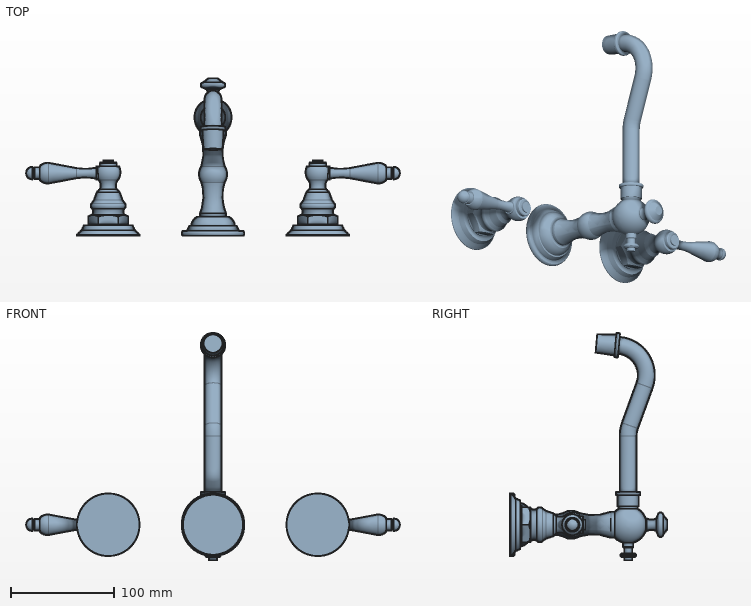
import cadquery as cq
import math

VALVE_SPACING = 203.0
FLANGE_RADIUS = 30.5

ESCUTCHEON_RIM = 1.0
ESCUTCHEON_STEP_RADIUS = 25.7
ESCUTCHEON_STEP_Y = 5.8
ESCUTCHEON_TOP_RADIUS = 23.5
ESCUTCHEON_TOP_Y = 10.5
NUT_SEAT_RADIUS = 18.5
NUT_CORNER_RADIUS = 19.5
NUT_START_Y = 11.5
NUT_END_Y = 20.5
NUT_CHAMFER_RADIUS = 16.3
NUT_CHAMFER_ANGLE = 30.0
STEM_FOOT_RADIUS = 15.5
STEM_WAIST_RADIUS = 15.0
STEM_WAIST_Y = 23.5
BEAD_START_Y = 26.5
BEAD_RADIUS = 17.0
BEAD_Y = 29.5
BEAD_END_RADIUS = 16.0
BEAD_END_Y = 32.0
CONE_START_RADIUS = 13.8
CONE_START_Y = 35.0
CONE_END_RADIUS = 11.2
CONE_END_Y = 42.5
NECK_START_RADIUS = 8.5
NECK_START_Y = 45.5
NECK_RADIUS = 7.5
NECK_Y = 49.5
HUB_RADIUS = 12.0
HUB_Y = 61.5
HUB_START_Y = 54.7
CAP_RADIUS = 8.5
CAP_START_Y = 67.5
CAP_END_Y = 71.5
CAP_CHAMFER = 0.7
BUTTON_RADIUS = 5.0
BUTTON_END_Y = 73.2

LEVER_Y = 61.0
LEVER_COLLAR_RADIUS = 6.5
LEVER_COLLAR_END = 11.5
LEVER_ROOT_RADIUS = 5.5
LEVER_WAIST_RADIUS = 4.5
LEVER_WAIST = 22.5
LEVER_GRIP_START_RADIUS = 5.0
LEVER_GRIP_START = 31.0
LEVER_GRIP_RADIUS = 10.0
LEVER_GRIP = 58.0
LEVER_SHOULDER_RADIUS = 9.0
LEVER_SHOULDER = 63.5
LEVER_GRIP_END_RADIUS = 7.0
LEVER_GRIP_END = 66.5
LEVER_RING_RADIUS = 5.8
LEVER_RING_END = 71.5
LEVER_GROOVE_RADIUS = 5.0
LEVER_GROOVE_END = 73.0
LEVER_END = 79.8
LEVER_TIP_RADIUS = 6.0
LEVER_TIP_START = LEVER_END - LEVER_TIP_RADIUS

FLANGE_THICKNESS = 5.0
FLANGE_EDGE_RADIUS = 29.0
STEP_RADIUS = 25.5
BELL_START_Y = 10.0
BELL_STEP_RADIUS = 23.0
BELL_RADIUS = 21.5
BELL_MID_RADIUS = 19.5
BELL_MID_Y = 15.0
BELL_END_RADIUS = 15.2
BELL_END_Y = 19.0
ARM_END_RADIUS = 12.7
ARM_START_Y = 22.0
ARM_WAIST_RADIUS = 9.5
ARM_BALL_RADIUS = 13.8
ARM_BALL_Y = 60.0
ARM_BALL_HALF_LENGTH = 7.5
ARM_END_Y = 98.0

BALL_RADIUS = 18.0
BALL_Y = 115.0

KNOB_NECK_RADIUS = 5.0
KNOB_FOOT_RADIUS = 6.0
KNOB_NECK_Y = 137.5
KNOB_NECK_END_Y = 142.0
KNOB_DISC_START_Y = 143.5
KNOB_DISC_RADIUS = 12.0
KNOB_DISC_END_Y = 149.0
KNOB_DISC_FLAT_RADIUS = 9.5
KNOB_CROWN_RADIUS = 4.5
KNOB_END_Y = 153.0

DRAIN_FOOT_RADIUS = 5.0
DRAIN_FOOT_Z = -22.5
DRAIN_FOOT_CHAMFER = 1.0
DRAIN_STEM_RADIUS = 4.0
DRAIN_DISC_RADIUS = 7.5
DRAIN_DISC_TOP_Z = -27.5
DRAIN_DISC_BOTTOM_Z = -31.5
DRAIN_DISC_CHAMFER = 1.5
DRAIN_END_Z = -34.5

SOCKET_NECK_RADIUS = 9.5
SOCKET_START_Z = 17.8
SOCKET_RADIUS = 10.5
SOCKET_LIP_RADIUS = 12.0
SOCKET_LIP_Z = 28.5
SOCKET_END_Z = 32.0
LIP_ROUND = 1.0

TUBE_RADIUS = 8.5
TUBE_STRAIGHT_END_Z = 86.3
TUBE_BEND_RADIUS = 29.0
TUBE_LEAN = 20.0
TUBE_LEAN_LENGTH = 41.5
NOZZLE_RISE = 5.0
NOZZLE_LIP_LENGTH = 3.5
NOZZLE_LENGTH = 22.0
NOZZLE_END_RADIUS = 9.0


def revolve_about_y(profile):
    """Revolve a closed (radius, Y) profile about the Y axis."""
    return profile.close().revolve(360, (0, 0, 0), (0, 1, 0))


def disc_along_z(radius, start, end):
    """Vertical cylinder on the axis of the spout ball."""
    return cq.Workplane("XY", origin=(0, BALL_Y, start)).circle(radius).extrude(end - start)


def valve_stem():
    hub_start_radius = math.sqrt(HUB_RADIUS**2 - (HUB_Y - HUB_START_Y) ** 2)
    hub_end_radius = math.sqrt(HUB_RADIUS**2 - (CAP_START_Y - HUB_Y) ** 2)
    profile = (
        cq.Workplane("XY")
        .lineTo(FLANGE_RADIUS, 0)
        .lineTo(FLANGE_RADIUS, ESCUTCHEON_RIM)
        .lineTo(ESCUTCHEON_STEP_RADIUS, ESCUTCHEON_STEP_Y)
        .lineTo(ESCUTCHEON_TOP_RADIUS, ESCUTCHEON_TOP_Y)
        .lineTo(NUT_SEAT_RADIUS, ESCUTCHEON_TOP_Y)
        .lineTo(NUT_SEAT_RADIUS, NUT_START_Y)
        .lineTo(STEM_FOOT_RADIUS, NUT_START_Y)
        .lineTo(STEM_FOOT_RADIUS, NUT_END_Y)
        .threePointArc((STEM_WAIST_RADIUS, STEM_WAIST_Y), (STEM_FOOT_RADIUS, BEAD_START_Y))
        .threePointArc((BEAD_RADIUS, BEAD_Y), (BEAD_END_RADIUS, BEAD_END_Y))
        .lineTo(CONE_START_RADIUS, CONE_START_Y)
        .lineTo(CONE_END_RADIUS, CONE_END_Y)
        .lineTo(NECK_START_RADIUS, NECK_START_Y)
        .threePointArc((NECK_RADIUS, NECK_Y), (hub_start_radius, HUB_START_Y))
        .threePointArc((HUB_RADIUS, HUB_Y), (hub_end_radius, CAP_START_Y))
        .lineTo(CAP_RADIUS, CAP_START_Y)
        .lineTo(CAP_RADIUS, CAP_END_Y - CAP_CHAMFER)
        .lineTo(CAP_RADIUS - CAP_CHAMFER, CAP_END_Y)
        .lineTo(BUTTON_RADIUS, CAP_END_Y)
        .lineTo(BUTTON_RADIUS, BUTTON_END_Y)
        .lineTo(0, BUTTON_END_Y)
    )
    return revolve_about_y(profile)


def valve_nut():
    """Hexagon with corners on the X direction, its outer corners cut by a cone."""
    hexagon = (
        cq.Workplane("XZ", origin=(0, NUT_START_Y, 0))
        .polygon(6, 2 * NUT_CORNER_RADIUS)
        .extrude(NUT_START_Y - NUT_END_Y)
    )
    chamfer_drop = (NUT_CORNER_RADIUS - NUT_CHAMFER_RADIUS) * math.tan(math.radians(NUT_CHAMFER_ANGLE))
    envelope = (
        cq.Workplane("XY")
        .moveTo(0, NUT_START_Y)
        .lineTo(NUT_CORNER_RADIUS, NUT_START_Y)
        .lineTo(NUT_CORNER_RADIUS, NUT_END_Y - chamfer_drop)
        .lineTo(NUT_CHAMFER_RADIUS, NUT_END_Y)
        .lineTo(0, NUT_END_Y)
    )
    return hexagon.intersect(revolve_about_y(envelope))


def valve_lever():
    """Lever turned about an axis along +X, starting inside the hub."""
    tip_middle = math.sqrt(0.5)
    return (
        cq.Workplane("XY", origin=(0, LEVER_Y, 0))
        .lineTo(0, LEVER_COLLAR_RADIUS)
        .lineTo(LEVER_COLLAR_END, LEVER_COLLAR_RADIUS)
        .lineTo(LEVER_COLLAR_END, LEVER_ROOT_RADIUS)
        .threePointArc((LEVER_WAIST, LEVER_WAIST_RADIUS), (LEVER_GRIP_START, LEVER_GRIP_START_RADIUS))
        .lineTo(LEVER_GRIP, LEVER_GRIP_RADIUS)
        .threePointArc((LEVER_SHOULDER, LEVER_SHOULDER_RADIUS), (LEVER_GRIP_END, LEVER_GRIP_END_RADIUS))
        .lineTo(LEVER_GRIP_END, LEVER_RING_RADIUS)
        .lineTo(LEVER_RING_END, LEVER_RING_RADIUS)
        .lineTo(LEVER_RING_END, LEVER_GROOVE_RADIUS)
        .lineTo(LEVER_GROOVE_END, LEVER_GROOVE_RADIUS)
        .lineTo(LEVER_TIP_START, LEVER_TIP_RADIUS)
        .threePointArc(
            (LEVER_TIP_START + LEVER_TIP_RADIUS * tip_middle, LEVER_TIP_RADIUS * tip_middle),
            (LEVER_END, 0),
        )
        .close()
        .revolve(360, (0, 0, 0), (1, 0, 0))
    )


def valve(side):
    """One valve with its lever pointing outward; side is +1 or -1 along X."""
    body = valve_stem().union(valve_nut()).union(valve_lever())
    if side < 0:
        body = body.mirror("YZ")
    return body.translate((side * VALVE_SPACING / 2, 0, 0))


def spout_arm():
    """Wall flange, bell and waisted arm up to the collar at the ball."""
    ball_start = ARM_BALL_Y - ARM_BALL_HALF_LENGTH
    ball_end = ARM_BALL_Y + ARM_BALL_HALF_LENGTH
    ball_end_radius = math.sqrt(ARM_BALL_RADIUS**2 - ARM_BALL_HALF_LENGTH**2)
    profile = (
        cq.Workplane("XY")
        .lineTo(FLANGE_EDGE_RADIUS, 0)
        .threePointArc((FLANGE_RADIUS, FLANGE_THICKNESS / 2), (FLANGE_EDGE_RADIUS, FLANGE_THICKNESS))
        .lineTo(STEP_RADIUS, FLANGE_THICKNESS)
        .lineTo(BELL_STEP_RADIUS, BELL_START_Y)
        .lineTo(BELL_RADIUS, BELL_START_Y)
        .threePointArc((BELL_MID_RADIUS, BELL_MID_Y), (BELL_END_RADIUS, BELL_END_Y))
        .lineTo(ARM_END_RADIUS, BELL_END_Y)
        .lineTo(ARM_END_RADIUS, ARM_START_Y)
        .threePointArc((ARM_WAIST_RADIUS, (ARM_START_Y + ball_start) / 2), (ball_end_radius, ball_start))
        .threePointArc((ARM_BALL_RADIUS, ARM_BALL_Y), (ball_end_radius, ball_end))
        .threePointArc((ARM_WAIST_RADIUS, (ball_end + ARM_END_Y) / 2), (ARM_END_RADIUS, ARM_END_Y))
        .lineTo(ARM_END_RADIUS, BALL_Y)
        .lineTo(0, BALL_Y)
    )
    return revolve_about_y(profile)


def knob():
    """Turned knob on the far side of the ball."""
    rim_y = (KNOB_DISC_START_Y + KNOB_DISC_END_Y) / 2
    profile = (
        cq.Workplane("XY")
        .moveTo(0, BALL_Y)
        .lineTo(KNOB_FOOT_RADIUS, BALL_Y)
        .lineTo(KNOB_FOOT_RADIUS, BALL_Y + BALL_RADIUS)
        .threePointArc((KNOB_NECK_RADIUS, KNOB_NECK_Y), (KNOB_FOOT_RADIUS, KNOB_NECK_END_Y))
        .lineTo(KNOB_DISC_FLAT_RADIUS, KNOB_DISC_START_Y)
        .threePointArc((KNOB_DISC_RADIUS, rim_y), (KNOB_DISC_FLAT_RADIUS, KNOB_DISC_END_Y))
        .lineTo(KNOB_CROWN_RADIUS, KNOB_END_Y)
        .lineTo(0, KNOB_END_Y)
    )
    return revolve_about_y(profile)


def drain_screw():
    """Stepped screw hanging below the ball."""
    foot = disc_along_z(DRAIN_FOOT_RADIUS, 0, DRAIN_FOOT_Z).edges("<Z").chamfer(DRAIN_FOOT_CHAMFER)
    stem = disc_along_z(DRAIN_STEM_RADIUS, 0, DRAIN_END_Z)
    disc = disc_along_z(DRAIN_DISC_RADIUS, DRAIN_DISC_TOP_Z, DRAIN_DISC_BOTTOM_Z)
    disc = disc.edges("%CIRCLE").chamfer(DRAIN_DISC_CHAMFER)
    return foot.union(stem).union(disc)


def socket():
    """Lipped socket that carries the gooseneck on top of the ball."""
    neck = disc_along_z(SOCKET_NECK_RADIUS, 0, SOCKET_START_Z)
    cup = disc_along_z(SOCKET_RADIUS, SOCKET_START_Z, SOCKET_LIP_Z)
    lip = disc_along_z(SOCKET_LIP_RADIUS, SOCKET_LIP_Z, SOCKET_END_Z).edges("%CIRCLE").fillet(LIP_ROUND)
    return neck.union(cup).union(lip)


def bend_point(center, angle):
    """Point on a gooseneck bend; angle is in degrees from +Y toward +Z."""
    turn = math.radians(angle)
    return (
        center[0] + TUBE_BEND_RADIUS * math.cos(turn),
        center[1] + TUBE_BEND_RADIUS * math.sin(turn),
    )


def gooseneck():
    """Tube that leans away from the wall and curls back to a lipped nozzle."""
    lean = math.radians(TUBE_LEAN)
    low_center = (BALL_Y + TUBE_BEND_RADIUS, TUBE_STRAIGHT_END_Z)
    lean_start = bend_point(low_center, 180 - TUBE_LEAN)
    lean_end = (
        lean_start[0] + TUBE_LEAN_LENGTH * math.sin(lean),
        lean_start[1] + TUBE_LEAN_LENGTH * math.cos(lean),
    )
    high_center = (
        lean_end[0] - TUBE_BEND_RADIUS * math.cos(lean),
        lean_end[1] + TUBE_BEND_RADIUS * math.sin(lean),
    )
    curl_end_angle = 90 - NOZZLE_RISE
    tube_end = bend_point(high_center, curl_end_angle)
    path = (
        cq.Workplane("YZ")
        .moveTo(BALL_Y, SOCKET_LIP_Z)
        .lineTo(BALL_Y, TUBE_STRAIGHT_END_Z)
        .threePointArc(bend_point(low_center, 180 - TUBE_LEAN / 2), lean_start)
        .lineTo(*lean_end)
        .threePointArc(bend_point(high_center, (curl_end_angle - TUBE_LEAN) / 2), tube_end)
    )
    tube = cq.Workplane("XY", origin=(0, BALL_Y, SOCKET_LIP_Z)).circle(TUBE_RADIUS).sweep(path)

    rise = math.radians(NOZZLE_RISE)
    outlet = cq.Plane(
        origin=(0, *tube_end),
        xDir=(1, 0, 0),
        normal=(0, -math.cos(rise), math.sin(rise)),
    )
    lip = cq.Workplane(outlet).circle(SOCKET_LIP_RADIUS).extrude(NOZZLE_LIP_LENGTH)
    lip = lip.edges("%CIRCLE").fillet(LIP_ROUND)
    nozzle = (
        cq.Workplane(outlet)
        .circle(SOCKET_RADIUS)
        .workplane(offset=NOZZLE_LENGTH)
        .circle(NOZZLE_END_RADIUS)
        .loft()
    )
    return tube.union(lip).union(nozzle)


def spout():
    ball = cq.Workplane("XY", origin=(0, BALL_Y, 0)).sphere(BALL_RADIUS)
    body = spout_arm().union(ball)
    for piece in (knob(), drain_screw(), socket(), gooseneck()):
        body = body.union(piece)
    return body


valves = [valve(side) for side in (-1, 1)]
result = cq.Compound.makeCompound([spout().solids().val(), *[body.solids().val() for body in valves]])